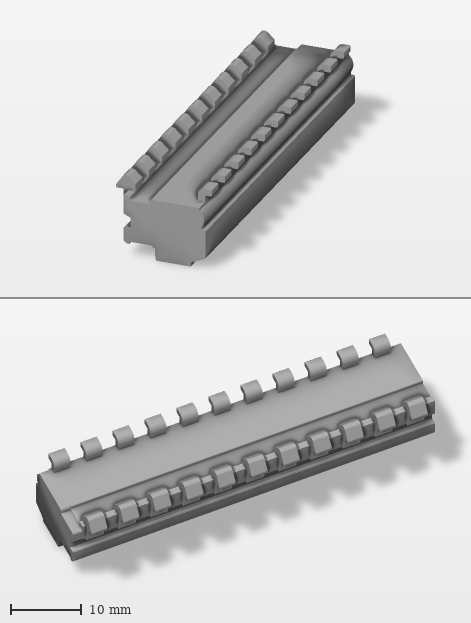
import cadquery as cq
import math

body_length = 56.5

hook_count = 11
hook_row_span = 50.0
hook_pitch = hook_row_span / (hook_count - 1)
hook_width = 2.5
first_hook_y = 2.05
hook_top_z = 11.5

cap_length = body_length - hook_count * hook_pitch
cap_floor_z = 8.55
cap_round = 0.45
cap_bottom_chamfer = 0.2

top_z = 9.4
top_right_x = 11.6
groove_floor_z = 8.7
groove_left_x = 1.0
groove_right_x = 4.05
groove_fillet = 0.15

slot_top_z = 6.5
slot_drop = 0.45
slot_floor_z = 4.3
slot_depth = 1.0

lip_ridge_left_x = 0.15
lip_ridge_right_x = 0.4
lip_ridge_width = 0.5
lip_ridge_height = 0.15
lip_bottom_z = 1.9
lip_chamfer = 0.4
lip_right_x = 0.9

step_z = 2.25
step_right_x = 4.35
step_bead = 0.1
foot_top_left_x = 4.75
foot_left_x = 5.0
foot_right_x = 10.2
foot_taper = 0.1
foot_chamfer = 0.2
foot_height = 0.55
foot_flare = 0.35

right_x = 12.55
right_bottom_z = 1.9
right_chamfer = 0.1
right_slope_drop = 0.35
notch_z = 6.0
notch_x = 11.85
notch_wall = 0.4
nose_x = 12.25
nose_top_z = 9.0
nose_middle_z = 7.7

barb_tip_x = -2.05
barb_tip_height = 0.45
barb_round = 0.35
barb_left_round_drop = 0.2
barb_right_round_drop = 0.15
barb_flat_left_x = -0.7
barb_flat_right_x = -0.35
barb_slope_end_z = 10.4
barb_bulge = 0.05
stem_thickness = 0.85

bend_left_x = 10.5
bend_tip_x = 12.65
bend_thickness = 1.1
bend_tip_round = 0.2

diagonal = math.sqrt(0.5)


def extrude_y(section, start_y, length):
    """Extrude a section drawn in X and Z from start_y towards +Y."""
    return section.close().extrude(-length).translate((0, start_y, 0))


def quarter_arc(path, start, end, corner):
    """Draw a quarter round from start to end, tangent to the lines that meet at corner."""
    center = (start[0] + end[0] - corner[0], start[1] + end[1] - corner[1])
    middle = (
        center[0] + diagonal * (corner[0] - center[0]),
        center[1] + diagonal * (corner[1] - center[1]),
    )
    return path.threePointArc(middle, end)


def lower_section(left_end_x):
    """Outline from the slot ceiling at left_end_x, round the underside, to the upper right corner."""
    left_end_z = slot_top_z - slot_drop * left_end_x / slot_depth
    ridge_top_z = slot_floor_z + lip_ridge_height
    return (
        cq.Workplane("XZ")
        .moveTo(left_end_x, left_end_z)
        .lineTo(slot_depth, slot_top_z - slot_drop)
        .lineTo(slot_depth, slot_floor_z)
        .lineTo(lip_ridge_width, slot_floor_z)
        .lineTo(lip_ridge_right_x, ridge_top_z)
        .lineTo(lip_ridge_left_x, ridge_top_z)
        .lineTo(0, slot_floor_z)
        .lineTo(0, lip_bottom_z + lip_chamfer)
        .lineTo(lip_chamfer, lip_bottom_z)
        .lineTo(lip_right_x, lip_bottom_z)
        .lineTo(lip_right_x, step_z)
        .lineTo(step_right_x, step_z)
        .lineTo(step_right_x + step_bead, lip_bottom_z)
        .lineTo(foot_top_left_x, lip_bottom_z)
        .lineTo(foot_top_left_x + foot_taper, foot_chamfer)
        .lineTo(foot_left_x, 0)
        .lineTo(foot_right_x, 0)
        .lineTo(foot_right_x, foot_height)
        .lineTo(foot_right_x + foot_flare, foot_height + foot_chamfer)
        .lineTo(right_x - right_chamfer, right_bottom_z - right_slope_drop)
        .lineTo(right_x, right_bottom_z)
        .lineTo(right_x, notch_z - right_chamfer)
        .lineTo(right_x - right_chamfer, notch_z)
        .lineTo(notch_x, notch_z)
        .lineTo(notch_x, notch_z + notch_wall)
        .threePointArc((nose_x, nose_middle_z), (top_right_x, nose_top_z))
    )


def make_main_body():
    section = lower_section(0).lineTo(top_right_x, top_z)
    section = section.lineTo(groove_right_x + groove_fillet, top_z)
    section = quarter_arc(
        section,
        (groove_right_x + groove_fillet, top_z),
        (groove_right_x, top_z - groove_fillet),
        (groove_right_x, top_z),
    )
    section = section.lineTo(groove_right_x, groove_floor_z + groove_fillet)
    section = quarter_arc(
        section,
        (groove_right_x, groove_floor_z + groove_fillet),
        (groove_right_x - groove_fillet, groove_floor_z),
        (groove_right_x, groove_floor_z),
    )
    section = section.lineTo(groove_left_x + groove_fillet, groove_floor_z)
    section = quarter_arc(
        section,
        (groove_left_x + groove_fillet, groove_floor_z),
        (groove_left_x, groove_floor_z + groove_fillet),
        (groove_left_x, groove_floor_z),
    )
    section = section.lineTo(groove_left_x, top_z).lineTo(0, top_z)
    return extrude_y(section, 0, body_length - cap_length)


def make_end_cap():
    """Rear end of the body, with a lower left shoulder and rounded upper edges."""
    section = lower_section(cap_bottom_chamfer)
    right_round = top_z - nose_top_z
    section = quarter_arc(
        section,
        (top_right_x, nose_top_z),
        (top_right_x - right_round, top_z),
        (top_right_x, top_z),
    )
    section = section.lineTo(groove_right_x + cap_round, top_z)
    section = quarter_arc(
        section,
        (groove_right_x + cap_round, top_z),
        (groove_right_x, top_z - cap_round),
        (groove_right_x, top_z),
    )
    section = section.lineTo(groove_right_x, cap_floor_z).lineTo(cap_round, cap_floor_z)
    section = quarter_arc(
        section,
        (cap_round, cap_floor_z),
        (0, cap_floor_z - cap_round),
        (0, cap_floor_z),
    )
    section = section.lineTo(0, slot_top_z + cap_bottom_chamfer)
    return extrude_y(section, body_length - cap_length, cap_length)


def make_left_hook(start_y):
    left_round_middle = (
        barb_flat_left_x - barb_round / 2,
        hook_top_z - barb_left_round_drop / 2 + barb_bulge,
    )
    right_round_middle = (
        barb_flat_right_x + barb_round / 2,
        hook_top_z - barb_right_round_drop / 2 + barb_bulge / 2,
    )
    section = (
        cq.Workplane("XZ")
        .moveTo(0, slot_top_z)
        .lineTo(0, top_z)
        .lineTo(groove_left_x, top_z)
        .lineTo(groove_left_x, barb_slope_end_z)
        .lineTo(barb_flat_right_x + barb_round, hook_top_z - barb_right_round_drop)
        .threePointArc(right_round_middle, (barb_flat_right_x, hook_top_z))
        .lineTo(barb_flat_left_x, hook_top_z)
        .threePointArc(
            left_round_middle,
            (barb_flat_left_x - barb_round, hook_top_z - barb_left_round_drop),
        )
        .lineTo(barb_tip_x, top_z + barb_tip_height)
        .lineTo(barb_tip_x, top_z)
        .lineTo(-stem_thickness, top_z)
        .lineTo(-stem_thickness, slot_top_z + stem_thickness)
    )
    section = quarter_arc(
        section,
        (-stem_thickness, slot_top_z + stem_thickness),
        (0, slot_top_z),
        (-stem_thickness, slot_top_z),
    )
    return extrude_y(section, start_y, hook_width)


def make_right_hook(start_y):
    bend_right_x = bend_left_x + bend_thickness
    bend_under_z = hook_top_z - bend_thickness
    section = (
        cq.Workplane("XZ")
        .moveTo(bend_left_x, top_z)
        .lineTo(bend_left_x, bend_under_z)
    )
    section = quarter_arc(
        section,
        (bend_left_x, bend_under_z),
        (bend_right_x, hook_top_z),
        (bend_left_x, hook_top_z),
    )
    section = section.lineTo(bend_tip_x - bend_tip_round, hook_top_z)
    section = quarter_arc(
        section,
        (bend_tip_x - bend_tip_round, hook_top_z),
        (bend_tip_x, hook_top_z - bend_tip_round),
        (bend_tip_x, hook_top_z),
    )
    section = section.lineTo(bend_tip_x, bend_under_z + bend_tip_round)
    section = quarter_arc(
        section,
        (bend_tip_x, bend_under_z + bend_tip_round),
        (bend_tip_x - bend_tip_round, bend_under_z),
        (bend_tip_x, bend_under_z),
    )
    section = section.lineTo(bend_right_x, bend_under_z).lineTo(bend_right_x, top_z)
    return extrude_y(section, start_y, hook_width)


result = make_main_body().union(make_end_cap())
for index in range(hook_count):
    hook_y = first_hook_y + index * hook_pitch
    result = result.union(make_left_hook(hook_y)).union(make_right_hook(hook_y))